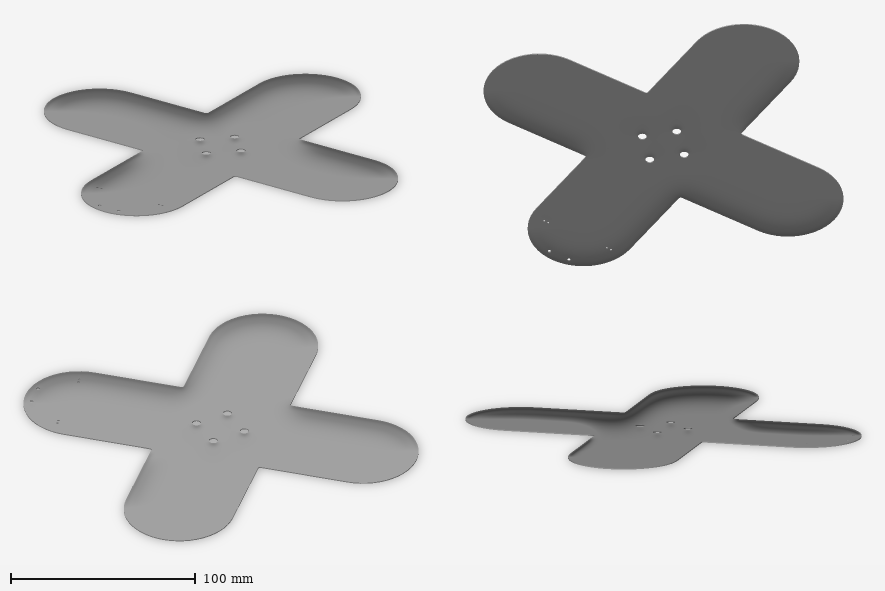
import math

import cadquery as cq

overall_span = 220.218
arm_width = 60.198
thickness = 0.6096
inner_corner_radius = 1.27

mount_hole_diameter = 4.83
mount_square_side = 19.05
mount_center_x = -0.05
mount_center_y = -0.34

pin_hole_diameter = 1.19
pin_pitch = 2.54
pin_pair_spacing = 40.36
pin_row_center_x = -0.18
pin_row_y = -86.0

tip_hole_diameter = 1.9
tip_hole_spacing = 12.6
tip_row_center_x = -0.68
tip_row_y = -105.12


def make_arm_pair(angle):
    """Two opposite arms: one full-length slot shape at the given angle to X."""
    return cq.Workplane("XY").slot2D(overall_span, arm_width, angle).extrude(thickness)


def make_cross():
    """Two crossing arm pairs with rounded inner corners."""
    cross = make_arm_pair(0).union(make_arm_pair(90))
    corner_reach = arm_width / 2 + inner_corner_radius
    corner_box = cq.selectors.BoxSelector(
        (-corner_reach, -corner_reach, -thickness),
        (corner_reach, corner_reach, 2 * thickness),
    )
    return cross.edges("|Z").edges(corner_box).fillet(inner_corner_radius)


def drill(plate, points, diameter):
    """Cut round through holes at the given points."""
    holes = cq.Workplane("XY").pushPoints(points).circle(diameter / 2).extrude(thickness)
    return plate.cut(holes)


def pair_about(center, spacing):
    """Two positions the given spacing apart, centred on the given position."""
    return [center - spacing / 2, center + spacing / 2]


def mount_points():
    """One hole on each side of the mounting centre, along X and Y."""
    reach = mount_square_side / math.sqrt(2)
    points = [(x, mount_center_y) for x in pair_about(mount_center_x, 2 * reach)]
    points += [(mount_center_x, y) for y in pair_about(mount_center_y, 2 * reach)]
    return points


def pin_points():
    """A close pair of holes at each end of the pin row."""
    points = []
    for pair_x in pair_about(pin_row_center_x, pin_pair_spacing):
        points += [(x, pin_row_y) for x in pair_about(pair_x, pin_pitch)]
    return points


def tip_points():
    """The two holes of the tip row."""
    return [(x, tip_row_y) for x in pair_about(tip_row_center_x, tip_hole_spacing)]


result = make_cross()
result = drill(result, mount_points(), mount_hole_diameter)
result = drill(result, pin_points(), pin_hole_diameter)
result = drill(result, tip_points(), tip_hole_diameter)